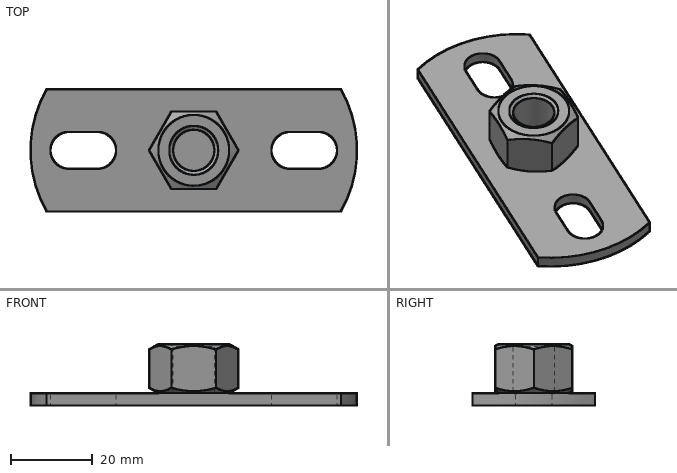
import cadquery as cq
import math

plate_length = 80.0
plate_width = 30.0
plate_thickness = 3.0
end_bulge = 4.0

slot_length = 16.0
slot_width = 9.0
slot_offset = 27.0

total_height = 15.0
nut_height = total_height - plate_thickness
across_flats = 19.0
across_corners = across_flats / math.cos(math.radians(30))
face_diameter = 17.4
chamfer_slope = math.tan(math.radians(30))

bore_diameter = 10.1
countersink_diameter = 12.0
countersink_depth = (countersink_diameter - bore_diameter) / 2 * chamfer_slope


def make_plate():
    """Flat plate with straight long sides and arched ends."""
    half_length = plate_length / 2
    half_width = plate_width / 2
    corner_x = half_length - end_bulge
    plate = (
        cq.Workplane("XY")
        .moveTo(-corner_x, -half_width)
        .lineTo(corner_x, -half_width)
        .threePointArc((half_length, 0), (corner_x, half_width))
        .lineTo(-corner_x, half_width)
        .threePointArc((-half_length, 0), (-corner_x, -half_width))
        .close()
        .extrude(plate_thickness)
    )
    slots = (
        cq.Workplane("XY")
        .pushPoints([(-slot_offset, 0), (slot_offset, 0)])
        .slot2D(slot_length, slot_width)
        .extrude(plate_thickness)
    )
    return plate.cut(slots)


def make_nut():
    """Hexagonal nut with its corners coned off at both ends and a countersunk bore."""
    face_radius = face_diameter / 2
    corner_radius = across_corners / 2
    corner_drop = (corner_radius - face_radius) * chamfer_slope
    hexagon = cq.Workplane("XY").polygon(6, across_corners).extrude(nut_height)
    envelope = (
        cq.Workplane("XZ")
        .polyline([
            (0, 0),
            (face_radius, 0),
            (corner_radius, corner_drop),
            (corner_radius, nut_height - corner_drop),
            (face_radius, nut_height),
            (0, nut_height),
        ])
        .close()
        .revolve(360, (0, 0, 0), (0, 1, 0))
    )
    bore = (
        cq.Workplane("XZ")
        .polyline([
            (0, 0),
            (bore_diameter / 2, 0),
            (bore_diameter / 2, nut_height - countersink_depth),
            (countersink_diameter / 2, nut_height),
            (0, nut_height),
        ])
        .close()
        .revolve(360, (0, 0, 0), (0, 1, 0))
    )
    return hexagon.intersect(envelope).cut(bore)


result = make_plate().union(make_nut().translate((0, 0, plate_thickness)))